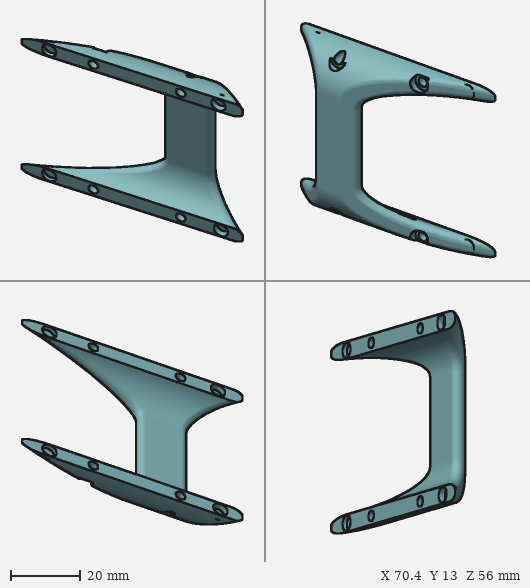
import cadquery as cq
import math

LENGTH = 70.4
DEPTH = 13.0
HEIGHT = 56.0

BAR_THICKNESS = 5.0
INNER_STRAIGHT_HALF = 13.0
INNER_RADIUS = 10.0
OUTER_RADIUS = 12.5

BACK_START = 46.3
BACK_END = 54.5

INNER_FILLET = 2.05
OUTER_FILLET = 1.75

HOLE_POSITIONS = ((22.8, 4.6), (50.6, 8.5))
HOLE_DIAMETER = 3.0
COUNTERBORE_DIAMETER = 5.35
POCKET_DIAMETER = 4.5
START_POCKET_DEPTH = 1.5
END_POCKET_DEPTH = 2.1
POCKET_START_X = 8.8
UPPER_POCKET_END_X = 62.6
LOWER_POCKET_END_X = 63.4

TOLERANCE = 0.001

half_height = HEIGHT / 2
bar_front = DEPTH - BAR_THICKNESS
inner_center_y = bar_front - INNER_RADIUS
inner_foot_z = INNER_STRAIGHT_HALF + math.sqrt(INNER_RADIUS**2 - inner_center_y**2)
outer_center_y = DEPTH - OUTER_RADIUS
outer_straight_half = half_height - OUTER_RADIUS
outer_foot_z = outer_straight_half + math.sqrt(OUTER_RADIUS**2 - outer_center_y**2)
foot_z = (inner_foot_z + outer_foot_z) / 2


def arc_point(center_y, center_z, radius, angle, side):
    """Point (Y, Z) on an arm arc; side is +1 for the upper arm, -1 for the lower."""
    y = center_y + radius * math.cos(angle)
    z = side * (center_z + radius * math.sin(angle))
    return y, z


def make_u_body():
    outer_angle = math.pi / 4
    inner_angle = math.atan2(inner_foot_z - INNER_STRAIGHT_HALF, -inner_center_y) / 2
    outer = (outer_center_y, outer_straight_half, OUTER_RADIUS, outer_angle)
    inner = (inner_center_y, INNER_STRAIGHT_HALF, INNER_RADIUS, inner_angle)
    return (
        cq.Workplane("YZ")
        .moveTo(0, outer_foot_z)
        .threePointArc(arc_point(*outer, 1), (DEPTH, outer_straight_half))
        .lineTo(DEPTH, -outer_straight_half)
        .threePointArc(arc_point(*outer, -1), (0, -outer_foot_z))
        .lineTo(0, -inner_foot_z)
        .threePointArc(arc_point(*inner, -1), (bar_front, -INNER_STRAIGHT_HALF))
        .lineTo(bar_front, INNER_STRAIGHT_HALF)
        .threePointArc(arc_point(*inner, 1), (0, inner_foot_z))
        .close()
        .extrude(LENGTH)
    )


def make_side_outline():
    """Trapezoid that gives the long and the short sloped end."""
    return (
        cq.Workplane("XY")
        .polyline([(0, 0), (LENGTH, 0), (BACK_END, DEPTH), (BACK_START, DEPTH)])
        .close()
        .extrude(half_height, both=True)
    )


def end_edges(body, inner):
    """Edges of the sloped end faces that lie on the inner or the outer skin."""
    edges = []
    for face in body.faces().vals():
        is_sloped_end = face.geomType() == "PLANE" and abs(face.normalAt().x) > TOLERANCE
        if not is_sloped_end:
            continue
        for edge in face.Edges():
            middle = edge.positionAt(0.5)
            on_foot = middle.y < TOLERANCE
            on_inner_skin = middle.y < bar_front + TOLERANCE and abs(middle.z) < inner_foot_z
            if not on_foot and on_inner_skin == inner:
                edges.append(edge)
    return edges


def round_ends(body):
    """Round the outer edges first, then the sharper inner ones."""
    body = body.newObject(end_edges(body, inner=False)).fillet(OUTER_FILLET)
    return body.newObject(end_edges(body, inner=True)).fillet(INNER_FILLET)


def cylinder_along_y(x, z, start_y, length, diameter):
    return cq.Workplane(cq.Solid.makeCylinder(
        diameter / 2, length, cq.Vector(x, start_y, z), cq.Vector(0, 1, 0)
    ))


def cut_holes(body):
    for z in (-foot_z, foot_z):
        for x, floor_y in HOLE_POSITIONS:
            body = body.cut(cylinder_along_y(x, z, 0, DEPTH, HOLE_DIAMETER))
            body = body.cut(cylinder_along_y(x, z, floor_y, DEPTH, COUNTERBORE_DIAMETER))
    return body


def cut_pockets(body):
    for z, end_x in ((-foot_z, LOWER_POCKET_END_X), (foot_z, UPPER_POCKET_END_X)):
        for x, depth in ((POCKET_START_X, START_POCKET_DEPTH), (end_x, END_POCKET_DEPTH)):
            body = body.cut(cylinder_along_y(x, z, 0, depth, POCKET_DIAMETER))
    return body


blank = make_u_body().intersect(make_side_outline())
result = cut_pockets(cut_holes(round_ends(blank)))